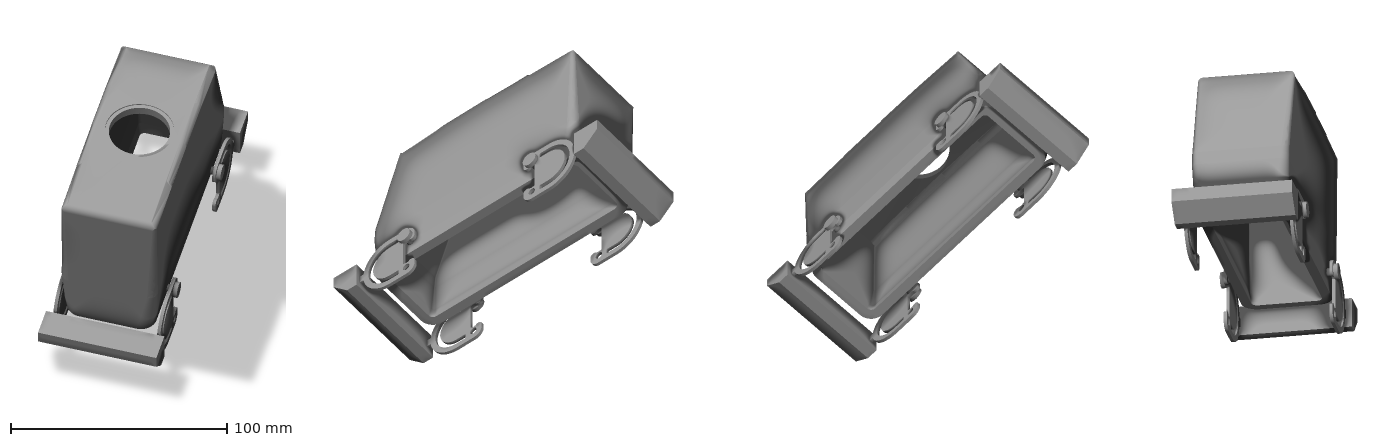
import cadquery as cq
import math


HOOD_HEIGHT = 76.0
HALF_WIDTH = 23.0
FLANK_HALF_WIDTH = 22.3
RIM_HALF_WIDTH = 21.4
LOWER_CREASE_Z = 6.7
FLANK_CREASE_Z = 23.2
KNEE_START_Z = 26.5
KNEE_END_Z = 29.6
LOFT_TOP_Z = 78.0
BLANK_END_Y = 74.9

FRONT_RIM_Y = -60.0
FRONT_TOP_Y = -59.3
REAR_RIM_Y = 60.2
REAR_CREASE_Y = 59.9
KNEE_START_Y = 59.6
KNEE_END_Y = 59.3
REAR_LEAN = 20.0

RIM_CORNER_RADIUS = 7.5
LOWER_CORNER_RADIUS = 6.5
FLANK_CORNER_RADIUS = 4.0
TOP_CORNER_RADIUS = 1.4
REAR_SHARPENING = 0.5
MIN_CORNER_RADIUS = 0.5

WALL = 4.7
CROWN_RADIUS = 670.8
CROWN_SWEEP = 16.0
CROWN_Y = -6.2
ROOF_SIDE_FILLET = 3.0
ROOF_FRONT_FILLET = 3.0
ROOF_REAR_FILLET = 1.4

ENTRY_Y = -6.0
ENTRY_RADIUS = 14.2
SPOT_FACE_RADIUS = 16.0
SPOT_FACE_DEPTH = 0.6

PLATE_OUTER_X = 25.7
PLATE_THICKNESS = 1.5
LEVER_Y = 46.8
LEVER_RADIUS = 15.6
LEVER_Z = -4.2
HOOK_RADIUS = 4.7
HOOK_Y = 36.8
HOOK_TIP_RADIUS = 2.0
HOOK_TIP_REACH = 7.0
THROAT_Y = 38.8
THROAT_HALF_HEIGHT = 7.3
NOTCH_DEPTH = 0.6
SLOT_OUTER_RADIUS = 12.6
SLOT_INNER_RADIUS = 9.8
SLOT_END_Y = 41.7
SLOT_END_FILLET = 0.6
EYE_RADIUS = 1.9
EYE_DROP = 10.8

PIN_Y = 37.1
PIN_Z = 6.1
PIN_RADIUS = 1.9
PIN_HEAD_RADIUS = 3.7
PIN_HEAD_HEIGHT = 2.0
PIN_EMBED = 1.5

BAR_LENGTH = 57.0
BAR_OUTER_Y = 78.0
BAR_WIDTH = 13.7
BAR_HEIGHT = 14.4
BAR_TOP_Z = 3.9
BAR_CHAMFER = 8.1
ARM_HEIGHT = 4.0


def corner_radius(z):
    """Corner radius of the hood above the flank crease, shrinking evenly upward."""
    rise = (z - FLANK_CREASE_Z) / (HOOD_HEIGHT - FLANK_CREASE_Z)
    return FLANK_CORNER_RADIUS + rise * (TOP_CORNER_RADIUS - FLANK_CORNER_RADIUS)


def front_wall_y(z):
    """Flat front wall with a slight draft."""
    return FRONT_RIM_Y + z / HOOD_HEIGHT * (FRONT_TOP_Y - FRONT_RIM_Y)


def hood_section(z, half_width, front_y, rear_y, radius, inset):
    """Rounded rectangle at height z, moved inward by inset."""
    width = 2 * (half_width - inset)
    length = rear_y - front_y - 2 * inset
    sketch = cq.Sketch().rect(width, length).vertices()
    sketch = sketch.fillet(max(radius - inset, MIN_CORNER_RADIUS))
    middle = (front_y + rear_y) / 2
    return sketch.moved(cq.Location(cq.Vector(0, middle, z)))


def crown_envelope(inset):
    """Arch-shaped solid whose top is the crowned roof with rounded long edges."""
    half_width = HALF_WIDTH - inset
    roof = HOOD_HEIGHT - inset
    fillet = ROOF_SIDE_FILLET
    axis_z = HOOD_HEIGHT - CROWN_RADIUS
    below = -HOOD_HEIGHT
    diagonal = fillet * (1 - math.sqrt(0.5))
    profile = (
        cq.Workplane("XZ", origin=(0, CROWN_Y, 0))
        .moveTo(-half_width, below)
        .lineTo(-half_width, roof - fillet)
        .threePointArc((-half_width + diagonal, roof - diagonal), (-half_width + fillet, roof))
        .lineTo(half_width - fillet, roof)
        .threePointArc((half_width - diagonal, roof - diagonal), (half_width, roof - fillet))
        .lineTo(half_width, below)
        .close()
    )
    arch = profile.revolve(CROWN_SWEEP, (0, axis_z, 0), (1, axis_z, 0))
    return arch.rotate((0, CROWN_Y, axis_z), (1, CROWN_Y, axis_z), -CROWN_SWEEP / 2)


def rear_wall_y(z):
    """Leaning rear wall above the knee."""
    return KNEE_END_Y - (z - KNEE_END_Z) * math.tan(math.radians(REAR_LEAN))


def ruled_blank(levels, inset):
    """Straight-sided blank through a stack of rounded rectangles."""
    sections = [hood_section(*level, inset) for level in levels]
    return cq.Workplane("XY").placeSketch(*sections).loft(ruled=True)


def hood_body(inset):
    """Solid hood shape, moved inward by inset on every face but the bottom.

    One blank shapes the front end and another the rear end. Each runs past
    the opposite end, so the hood is what the two have in common.
    """
    flanks = [
        (0, RIM_HALF_WIDTH, REAR_RIM_Y, RIM_CORNER_RADIUS),
        (LOWER_CREASE_Z, FLANK_HALF_WIDTH, REAR_RIM_Y, LOWER_CORNER_RADIUS),
        (FLANK_CREASE_Z, HALF_WIDTH, REAR_CREASE_Y, FLANK_CORNER_RADIUS),
    ]
    knee = [
        (KNEE_START_Z, HALF_WIDTH, KNEE_START_Y, corner_radius(KNEE_START_Z)),
        (KNEE_END_Z, HALF_WIDTH, KNEE_END_Y, corner_radius(KNEE_END_Z)),
    ]
    top = (LOFT_TOP_Z, HALF_WIDTH, rear_wall_y(LOFT_TOP_Z), corner_radius(LOFT_TOP_Z))
    front_levels = [
        (z, half_width, front_wall_y(z), BLANK_END_Y, radius)
        for z, half_width, _, radius in flanks + [top]
    ]
    rear_levels = [
        (z, half_width, -BLANK_END_Y, rear_y, radius - REAR_SHARPENING)
        for z, half_width, rear_y, radius in flanks + knee
    ]
    top_z, top_half_width, top_rear_y, top_radius = top
    rear_levels.append((top_z, top_half_width, -BLANK_END_Y, top_rear_y, top_radius))
    blank = ruled_blank(front_levels, inset).intersect(ruled_blank(rear_levels, inset))
    return blank.intersect(crown_envelope(inset))


def end_envelope():
    """Prism across the hood that rounds the front and rear edges of the roof."""
    arch_axis_z = HOOD_HEIGHT - CROWN_RADIUS
    walls = (
        cq.Workplane("YZ", origin=(-BAR_LENGTH / 2, 0, 0))
        .moveTo(front_wall_y(0), 0)
        .lineTo(front_wall_y(LOFT_TOP_Z), LOFT_TOP_Z)
        .lineTo(rear_wall_y(LOFT_TOP_Z), LOFT_TOP_Z)
        .lineTo(rear_wall_y(0), 0)
        .close()
        .extrude(BAR_LENGTH)
    )
    arch = (
        cq.Workplane("YZ", origin=(-BAR_LENGTH / 2, CROWN_Y, arch_axis_z))
        .circle(CROWN_RADIUS)
        .extrude(BAR_LENGTH)
    )
    prism = walls.intersect(arch)
    mid_z = HOOD_HEIGHT / 2
    front_upper = cq.selectors.BoxSelector((-BAR_LENGTH, FRONT_RIM_Y, mid_z), (BAR_LENGTH, 0, LOFT_TOP_Z))
    rear_upper = cq.selectors.BoxSelector((-BAR_LENGTH, 0, mid_z), (BAR_LENGTH, REAR_RIM_Y, LOFT_TOP_Z))
    prism = prism.edges("|X").edges(front_upper).fillet(ROOF_FRONT_FILLET)
    return prism.edges("|X").edges(rear_upper).fillet(ROOF_REAR_FILLET)


def make_hood():
    """Hollow hood, open below, with the cable entry through its roof."""
    shell = hood_body(0).intersect(end_envelope()).cut(hood_body(WALL))
    spot_z = HOOD_HEIGHT - SPOT_FACE_DEPTH
    spot_base = cq.Workplane("XY", origin=(0, ENTRY_Y, spot_z))
    spot = spot_base.circle(SPOT_FACE_RADIUS).extrude(WALL)
    bore = spot_base.circle(ENTRY_RADIUS).extrude(-2 * WALL)
    return shell.cut(spot).cut(bore)


def lever_plate():
    """One flat lever plate on the +X side."""
    tip_y = HOOK_Y - HOOK_RADIUS + HOOK_TIP_RADIUS
    tip_z = HOOK_TIP_REACH + HOOK_TIP_RADIUS
    hook_z = LEVER_RADIUS - HOOK_RADIUS
    inner_y = HOOK_Y - HOOK_RADIUS
    diagonal = math.sqrt(0.5)
    tip_end_y = tip_y + HOOK_TIP_RADIUS * diagonal
    tip_end_z = tip_z - HOOK_TIP_RADIUS * diagonal
    notch_y = (THROAT_Y + tip_end_y) / 2
    notch_z = THROAT_HALF_HEIGHT + NOTCH_DEPTH
    plane_start = cq.Workplane("YZ", origin=(PLATE_OUTER_X - PLATE_THICKNESS, 0, LEVER_Z))
    outline = (
        plane_start
        .moveTo(LEVER_Y, -LEVER_RADIUS)
        .threePointArc((LEVER_Y + LEVER_RADIUS, 0), (LEVER_Y, LEVER_RADIUS))
        .lineTo(HOOK_Y, LEVER_RADIUS)
        .threePointArc(
            (HOOK_Y - HOOK_RADIUS * diagonal, hook_z + HOOK_RADIUS * diagonal), (inner_y, hook_z))
        .lineTo(inner_y, tip_z)
        .threePointArc((tip_y, HOOK_TIP_REACH), (tip_end_y, tip_end_z))
        .threePointArc((notch_y, notch_z), (THROAT_Y, THROAT_HALF_HEIGHT))
        .lineTo(THROAT_Y, -THROAT_HALF_HEIGHT)
        .threePointArc((notch_y, -notch_z), (tip_end_y, -tip_end_z))
        .threePointArc((tip_y, -HOOK_TIP_REACH), (inner_y, -tip_z))
        .lineTo(inner_y, -hook_z)
        .threePointArc(
            (HOOK_Y - HOOK_RADIUS * diagonal, -hook_z - HOOK_RADIUS * diagonal), (HOOK_Y, -LEVER_RADIUS))
        .close()
    )
    plate = outline.extrude(PLATE_THICKNESS)
    slot = (
        plane_start
        .moveTo(SLOT_END_Y, -SLOT_OUTER_RADIUS)
        .lineTo(LEVER_Y, -SLOT_OUTER_RADIUS)
        .threePointArc((LEVER_Y + SLOT_OUTER_RADIUS, 0), (LEVER_Y, SLOT_OUTER_RADIUS))
        .lineTo(SLOT_END_Y, SLOT_OUTER_RADIUS)
        .lineTo(SLOT_END_Y, SLOT_INNER_RADIUS)
        .lineTo(LEVER_Y, SLOT_INNER_RADIUS)
        .threePointArc((LEVER_Y + SLOT_INNER_RADIUS, 0), (LEVER_Y, -SLOT_INNER_RADIUS))
        .lineTo(SLOT_END_Y, -SLOT_INNER_RADIUS)
        .close()
        .extrude(PLATE_THICKNESS)
        .edges("|X and <Y")
        .fillet(SLOT_END_FILLET)
    )
    eye = plane_start.center(PIN_Y, -EYE_DROP).circle(EYE_RADIUS).extrude(PLATE_THICKNESS)
    arm_start_y = LEVER_Y + (LEVER_RADIUS + SLOT_OUTER_RADIUS) / 2
    arm_end_y = BAR_OUTER_Y - BAR_WIDTH / 2
    arm = (
        plane_start
        .center((arm_start_y + arm_end_y) / 2, 0)
        .rect(arm_end_y - arm_start_y, ARM_HEIGHT)
        .extrude(PLATE_THICKNESS)
    )
    return plate.cut(slot).cut(eye).union(arm)


def pivot_pin():
    """Headed pin from the +X hood wall through the lever plate."""
    start_x = FLANK_HALF_WIDTH - PIN_EMBED
    shank_base = cq.Workplane("YZ", origin=(start_x, PIN_Y, PIN_Z))
    head_base = cq.Workplane("YZ", origin=(PLATE_OUTER_X, PIN_Y, PIN_Z))
    shank = shank_base.circle(PIN_RADIUS).extrude(PLATE_OUTER_X - start_x)
    head = head_base.circle(PIN_HEAD_RADIUS).extrude(PIN_HEAD_HEIGHT)
    return shank.union(head)


def grip_bar():
    """Bar across the full width with its lower outer edge chamfered."""
    middle_y = BAR_OUTER_Y - BAR_WIDTH / 2
    middle_z = BAR_TOP_Z - BAR_HEIGHT / 2
    bar = cq.Workplane("XY", origin=(0, middle_y, middle_z)).box(BAR_LENGTH, BAR_WIDTH, BAR_HEIGHT)
    return bar.edges(">Y and <Z").chamfer(BAR_CHAMFER)


def make_lever():
    """Rear lever: grip bar with a plate and a pivot pin on each side."""
    side = lever_plate().union(pivot_pin())
    return grip_bar().union(side).union(side.mirror("YZ"))


rear_lever = make_lever()
front_lever = rear_lever.mirror("XZ")
result = make_hood().union(rear_lever).union(front_lever)